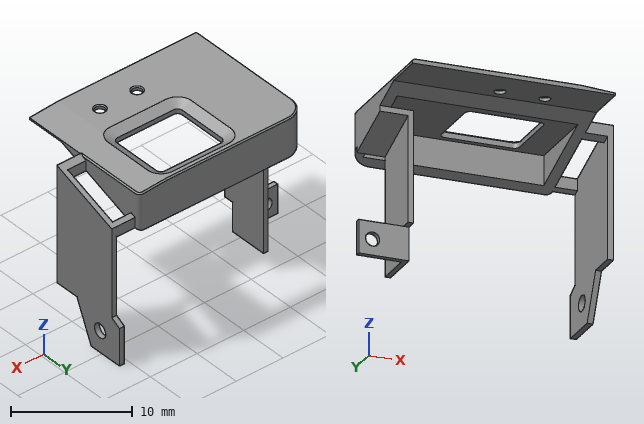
import cadquery as cq
import math

plate_x = 18.02
plate_y = 14.0
plate_thickness = 0.4
left_corner_radius = 2.0
right_corner_radius = 0.5
edge_chamfer = 0.13
ramp_x = 14.95
ramp_drop = 0.22

skirt_start_y = 4.07
skirt_angle = 20.0
skirt_wall = 1.0
ceiling_z = -1.0

window_x = (7.5, 14.5)
window_y = (6.5, 12.5)
window_radius = 0.5
window_flare = 1.0
window_flare_depth = 0.5

light_hole_x = (9.0, 12.98)
light_hole_y = 3.01
light_hole_diameter = 1.0
light_hole_chamfer = 0.1

flange_height = 0.5
left_leg_x = (2.5, 3.0)
left_leg_y = (7.05, 12.0)
left_leg_bottom_z = -14.43
tab_x = -1.47
tab_y = (8.0, 8.5)
tab_top_z = -11.45
tab_hole_x = -0.25
tab_hole_z = -13.0
tab_hole_diameter = 1.23

overall_length = 22.0
right_leg_outer_x = tab_x + overall_length
right_leg_thickness = 0.53
band_y = (6.5, 13.5)
band_front_arm = 0.77
band_back_arm = 0.53
band_height = 1.05
right_leg_heel_z = -12.19
heel_y = 9.05
foot_bottom_z = -16.2
foot_bottom_y = 10.87
foot_back_y = 14.5
foot_shoulder_z = (-12.36, -11.81)
foot_hole_y = 12.01
foot_hole_z = -14.0
foot_hole_diameter = 1.4


def skirt_z(y):
    """Height of the sloping skirt underside at a given y."""
    return -plate_thickness - (y - skirt_start_y) * math.tan(math.radians(skirt_angle))


def box(x, y, z):
    """Box spanning the given (low, high) ranges."""
    size = (x[1] - x[0], y[1] - y[0], z[1] - z[0])
    return cq.Workplane().box(*size, centered=False).translate((x[0], y[0], z[0]))


def side_profile(points, x):
    """Prism with a (y, z) outline spanning the given x range."""
    return cq.Workplane("YZ", origin=(x[0], 0, 0)).polyline(points).close().extrude(x[1] - x[0])


def make_cover():
    """Plate and skirt as one solid with rounded back corners and a lowered right edge."""
    outline = [
        (0, 0),
        (plate_y, 0),
        (plate_y, skirt_z(plate_y)),
        (skirt_start_y, -plate_thickness),
        (0, -plate_thickness),
    ]
    cover = side_profile(outline, (0, plate_x))
    cover = cover.edges("|Z and >Y and <X").fillet(left_corner_radius)
    cover = cover.edges("|Z and >Y and >X").fillet(right_corner_radius)
    ramp = (
        cq.Workplane("XZ")
        .polyline([(ramp_x, 0), (plate_x, 0), (plate_x, -ramp_drop)])
        .close()
        .extrude(-plate_y)
    )
    cover = cover.cut(ramp)
    return bevel_rim(cover)


def bevel_rim(cover):
    """Bevel the top rim except along the front and ahead of the right bracket."""
    front_right = cover.intersect(box((ramp_x, plate_x), (0, band_y[0]), (-plate_thickness, 0)))
    flat_rim = cover.faces(">Z").edges("not (<Y or >X)")
    ramp_rim = cover.faces(">>Z[-2]").edges("not (<Y or <X)")
    return flat_rim.add(ramp_rim).chamfer(edge_chamfer).union(front_right)


def make_cavity():
    """Hollow below the ceiling, inside the skirt walls and open through the sloping underside."""
    return box(
        (skirt_wall, plate_x - skirt_wall),
        (skirt_start_y, plate_y - skirt_wall),
        (foot_bottom_z, ceiling_z),
    )


def make_window():
    """Rounded rectangular opening that flares out towards the top face."""
    size_x = window_x[1] - window_x[0]
    size_y = window_y[1] - window_y[0]
    center = (sum(window_x) / 2, sum(window_y) / 2)
    opening = (
        cq.Workplane(origin=(*center, ceiling_z))
        .rect(size_x, size_y)
        .extrude(-ceiling_z)
        .edges("|Z")
        .fillet(window_radius)
    )
    taper = math.degrees(math.atan2(window_flare, window_flare_depth))
    flare = (
        cq.Workplane(origin=(*center, 0))
        .sketch()
        .rect(size_x + 2 * window_flare, size_y + 2 * window_flare)
        .vertices()
        .fillet(window_radius + window_flare)
        .finalize()
        .extrude(-window_flare_depth, taper=taper)
    )
    return opening.union(flare)


def make_light_holes():
    """Chamfered through holes for the indicator lights."""
    top_radius = light_hole_diameter / 2 + light_hole_chamfer
    cone = cq.Solid.makeCone(light_hole_diameter / 2, top_radius, light_hole_chamfer)
    hole = (
        cq.Workplane()
        .circle(light_hole_diameter / 2)
        .extrude(-plate_thickness)
        .union(cq.Workplane(cone.translate(cq.Vector(0, 0, -light_hole_chamfer))))
    )
    holes = cq.Workplane()
    for x in light_hole_x:
        holes = holes.union(hole.translate((x, light_hole_y, 0)))
    return holes


def make_left_bracket():
    """Flange under the left wall, leg hanging from its inner edge and a screw tab at the foot."""
    front, back = left_leg_y
    flange = side_profile(
        [
            (front, skirt_z(front)),
            (back, skirt_z(back)),
            (back, skirt_z(back) - flange_height),
            (front, skirt_z(front) - flange_height),
        ],
        (0, left_leg_x[1]),
    )
    leg = side_profile(
        [
            (front, skirt_z(front)),
            (back, skirt_z(back)),
            (back, left_leg_bottom_z),
            (tab_y[0], left_leg_bottom_z),
            (tab_y[0], tab_top_z),
            (front, tab_top_z),
        ],
        left_leg_x,
    )
    tab = box((tab_x, left_leg_x[1]), tab_y, (left_leg_bottom_z, tab_top_z))
    tab_hole = (
        cq.Workplane("XZ", origin=(tab_hole_x, tab_y[1], tab_hole_z))
        .circle(tab_hole_diameter / 2)
        .extrude(tab_y[1] - tab_y[0])
    )
    return flange.union(leg).union(tab).cut(tab_hole)


def make_right_bracket():
    """Sloping band rooted in the right wall, with a leg hanging from its outer side."""
    front, back = band_y
    root_x = plate_x - skirt_wall / 2
    leg_x = (right_leg_outer_x - right_leg_thickness, right_leg_outer_x)
    band = side_profile(
        [
            (front, skirt_z(front) + band_height),
            (back, skirt_z(back) + band_height),
            (back, skirt_z(back)),
            (front, skirt_z(front)),
        ],
        (root_x, right_leg_outer_x),
    )
    gap = box(
        (root_x, leg_x[0]),
        (front + band_front_arm, back - band_back_arm),
        (foot_bottom_z, 0),
    )
    leg = side_profile(
        [
            (front, skirt_z(front) + band_height),
            (back, skirt_z(back) + band_height),
            (back, foot_shoulder_z[1]),
            (foot_back_y, foot_shoulder_z[0]),
            (foot_back_y, foot_bottom_z),
            (foot_bottom_y, foot_bottom_z),
            (heel_y, right_leg_heel_z),
            (front, right_leg_heel_z),
        ],
        leg_x,
    )
    foot_hole = (
        cq.Workplane("YZ", origin=(leg_x[0], foot_hole_y, foot_hole_z))
        .circle(foot_hole_diameter / 2)
        .extrude(right_leg_thickness)
    )
    return band.cut(gap).union(leg).cut(foot_hole)


result = (
    make_cover()
    .cut(make_cavity())
    .cut(make_window())
    .cut(make_light_holes())
    .union(make_left_bracket())
    .union(make_right_bracket())
)